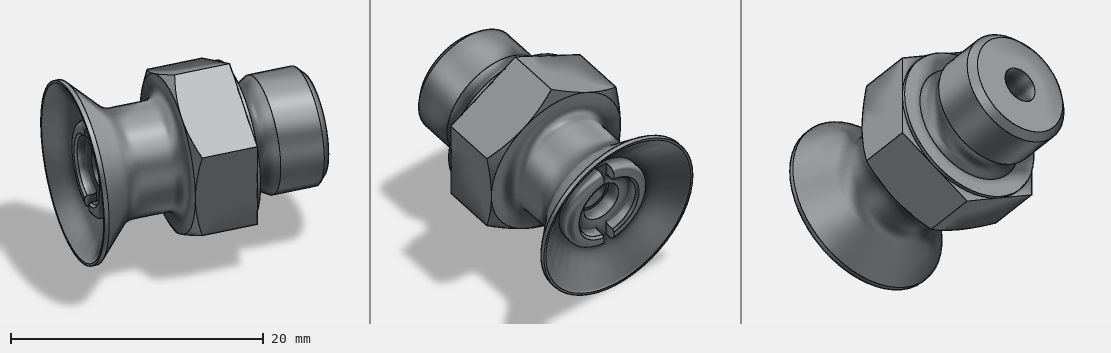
import cadquery as cq
import math

length = 20.0
mouth_radius = 15.0 / 2
rim_width = 0.4
neck_radius = 9.0 / 2
flare_fillet = 1.75

corner_radius = 15.0 / 2
flat_radius = corner_radius * math.cos(math.radians(30))
hex_front = 8.0
hex_back = 13.2
hex_chamfer_angle = math.radians(30)
shoulder_fillet = 1.0
collar_radius = 13.0 / 2
collar_back = 13.48

spigot_radius = 9.72 / 2
spigot_front = 15.75
spigot_chamfer = 0.58
relief_arc_front = 13.9
relief_arc_back = 15.1
relief_root_radius = 4.95
relief_arc_radius = 4.35
relief_arc_front_radius = 4.55
relief_arc_back_radius = 4.48
relief_arc_middle = 14.55

lip_radius = 7.3
lip_bevel = 0.08
dish_depth = 2.5
floor_depth = 2.2
ring_front = 1.2
ring_radius = 8.0 / 2
ring_fillet = 0.6
ring_chamfer_radius = 3.02
ring_bore_radius = 2.82
ring_root_radius = 2.6
slot_width = 1.0

counterbore_radius = 3.5 / 2
counterbore_end = 3.45
bore_radius = 3.0 / 2

diagonal = math.sqrt(0.5)


def turn(profile):
    """Revolve a closed (radius, Y) profile about the Y axis."""
    return profile.close().revolve(360, (0, 0, 0), (0, 1, 0))


def cylinder(radius, start, end):
    """Solid cylinder about the Y axis between two Y positions."""
    return turn(cq.Workplane("XY").moveTo(0, start).lineTo(radius, start).lineTo(radius, end).lineTo(0, end))


def flared_neck():
    """Mouth rim, 45 degree flare, and neck blended into the hexagon."""
    flare_end_radius = neck_radius + flare_fillet * (1 - diagonal)
    flare_end = rim_width + mouth_radius - flare_end_radius
    neck_front = flare_end + flare_fillet * diagonal
    return turn(
        cq.Workplane("XY")
        .lineTo(mouth_radius, 0)
        .lineTo(mouth_radius, rim_width)
        .lineTo(flare_end_radius, flare_end)
        .radiusArc((neck_radius, neck_front), flare_fillet)
        .lineTo(neck_radius, hex_front - shoulder_fillet)
        .radiusArc((neck_radius + shoulder_fillet, hex_front), shoulder_fillet)
        .lineTo(0, hex_front)
    )


def hexagon():
    """Hexagon whose front corners are turned down by a cone."""
    chamfer_length = (corner_radius - flat_radius) * math.tan(hex_chamfer_angle)
    prism = (
        cq.Workplane("XZ", origin=(0, hex_front, 0))
        .transformed(rotate=(0, 0, 90))
        .polygon(6, 2 * corner_radius)
        .extrude(hex_front - hex_back)
    )
    envelope = turn(
        cq.Workplane("XY")
        .moveTo(0, hex_front)
        .lineTo(flat_radius, hex_front)
        .lineTo(corner_radius, hex_front + chamfer_length)
        .lineTo(corner_radius, hex_back)
        .lineTo(0, hex_back)
    )
    return prism.intersect(envelope)


def rear_spigot():
    """Waisted relief and chamfered spigot behind the collar."""
    return turn(
        cq.Workplane("XY")
        .moveTo(0, collar_back)
        .lineTo(relief_root_radius, collar_back)
        .lineTo(relief_arc_front_radius, relief_arc_front)
        .threePointArc(
            (relief_arc_radius, relief_arc_middle),
            (relief_arc_back_radius, relief_arc_back),
        )
        .lineTo(spigot_radius, spigot_front)
        .lineTo(spigot_radius, length - spigot_chamfer)
        .lineTo(spigot_radius - spigot_chamfer, length)
        .lineTo(0, length)
    )


def dish():
    """Conical hollow of the mouth, down to the foot of the ring."""
    return turn(
        cq.Workplane("XY")
        .lineTo(lip_radius, 0)
        .lineTo(lip_radius - lip_bevel, lip_bevel)
        .lineTo(ring_radius, dish_depth)
        .lineTo(0, dish_depth)
    )


def slotted_ring():
    """Pedestal carrying a rounded ring that is split by a vertical slot."""
    chamfer_end = ring_front + ring_chamfer_radius - ring_bore_radius
    root_fillet = ring_bore_radius - ring_root_radius
    ring = turn(
        cq.Workplane("XY")
        .moveTo(ring_root_radius, floor_depth)
        .radiusArc((ring_bore_radius, floor_depth - root_fillet), root_fillet)
        .lineTo(ring_bore_radius, chamfer_end)
        .lineTo(ring_chamfer_radius, ring_front)
        .lineTo(ring_radius - ring_fillet, ring_front)
        .radiusArc((ring_radius, ring_front + ring_fillet), -ring_fillet)
        .lineTo(ring_radius, floor_depth)
    )
    slot = cq.Workplane("XY").box(slot_width, 2 * floor_depth, 2 * mouth_radius)
    pedestal = cylinder(ring_radius, floor_depth, dish_depth)
    return ring.cut(slot).union(pedestal)


def stepped_bore():
    """Through bore, wider at the mouth end."""
    return cylinder(bore_radius, 0, length).union(cylinder(counterbore_radius, 0, counterbore_end))


collar = cylinder(collar_radius, hex_back, collar_back)
body = flared_neck().union(hexagon()).union(collar).union(rear_spigot())
result = body.cut(dish()).union(slotted_ring()).cut(stepped_bore())